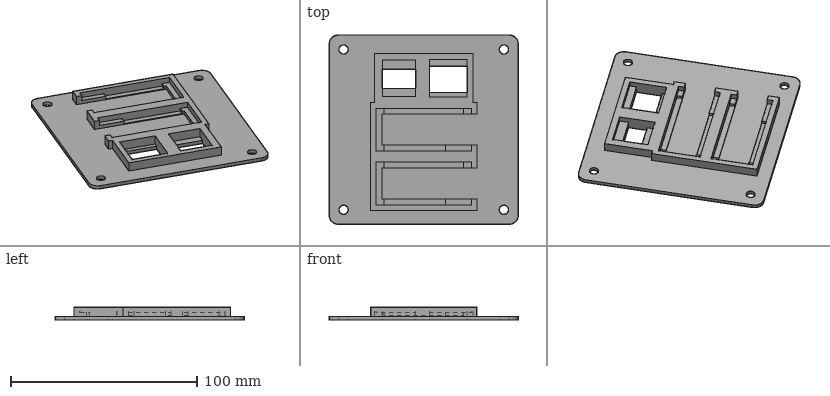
import cadquery as cq

PLATE_SIZE = 101.6
PLATE_THICKNESS = 2.0
PLATE_CORNER_RADIUS = 5.0
MOUNT_HOLE_DIAMETER = 4.8
MOUNT_HOLE_SPACING = 86.0

FRAME_HEIGHT = 5.0
RECESS_DEPTH = 3.0
TOP_Z = PLATE_THICKNESS + FRAME_HEIGHT
LEDGE_Z = TOP_Z - RECESS_DEPTH

TRAY_LENGTH = 57.0
TRAY_WIDTH = 28.9
TRAY_WALL = 3.0
TRAY_COUNT = 2
TRAY_TOP_Y = TRAY_WIDTH / 2
SLOT_WIDTH = 16.7
SLOT_START_X = -22.5
CHANNEL_FLOOR_Z = PLATE_THICKNESS + 0.5
CHANNEL_START_X = -21.3
BACK_CHANNEL_END_X = 21.3
FRONT_CHANNEL_END_X = 11.7

WINDOW_FRAME_SIZE = 26.3
WINDOW_FRAME_FRONT_Y = TRAY_TOP_Y

LEFT_RECESS_X = (-22.2, -4.4)
LEFT_RECESS_Y = (17.9, 37.3)
LEFT_OPENING_Y = (22.2, 32.3)

RIGHT_RECESS_X = (3.1, 23.3)
RIGHT_RECESS_Y = (17.5, 37.7)
RIGHT_OPENING_Y = (20.0, 34.0)


def block(x_range, y_range, z_range):
    """Axis-aligned box spanning the given (low, high) ranges."""
    size = [high - low for low, high in (x_range, y_range, z_range)]
    corner = (x_range[0], y_range[0], z_range[0])
    return cq.Workplane("XY").box(*size, centered=False).translate(corner)


def base_plate():
    """Square plate with rounded corners and four mounting holes."""
    plate = (
        cq.Workplane("XY")
        .rect(PLATE_SIZE, PLATE_SIZE)
        .extrude(PLATE_THICKNESS)
        .edges("|Z")
        .fillet(PLATE_CORNER_RADIUS)
    )
    return (
        plate.faces(">Z")
        .workplane()
        .rect(MOUNT_HOLE_SPACING, MOUNT_HOLE_SPACING, forConstruction=True)
        .vertices()
        .hole(MOUNT_HOLE_DIAMETER)
    )


def module_tray(center_y):
    """Frame with a ledged recess, two sunken side channels and a slot open toward +X."""
    half_length = TRAY_LENGTH / 2
    half_width = TRAY_WIDTH / 2
    inner_x = half_length - TRAY_WALL
    inner_y = half_width - TRAY_WALL
    half_slot = SLOT_WIDTH / 2

    tray = block((-half_length, half_length), (-half_width, half_width), (PLATE_THICKNESS, TOP_Z))
    recess = block((-inner_x, inner_x), (-inner_y, inner_y), (LEDGE_Z, TOP_Z))
    slot = block((SLOT_START_X, half_length), (-half_slot, half_slot), (PLATE_THICKNESS, TOP_Z))
    channel_z = (CHANNEL_FLOOR_Z, TOP_Z)
    back_channel = block((CHANNEL_START_X, BACK_CHANNEL_END_X), (0, inner_y), channel_z)
    front_channel = block((CHANNEL_START_X, FRONT_CHANNEL_END_X), (-inner_y, 0), channel_z)

    tray = tray.cut(recess).cut(slot).cut(back_channel).cut(front_channel)
    return tray.translate((0, center_y, 0))


def window_frame(left_x):
    """Solid square block for one window frame."""
    x_range = (left_x, left_x + WINDOW_FRAME_SIZE)
    y_range = (WINDOW_FRAME_FRONT_Y, WINDOW_FRAME_FRONT_Y + WINDOW_FRAME_SIZE)
    return block(x_range, y_range, (PLATE_THICKNESS, TOP_Z))


def window_cut(recess_x, recess_y, opening_y):
    """Through opening with a raised ledge behind it and a ledge at plate level in front."""
    front_y = recess_y[0]
    opening_front_y, opening_back_y = opening_y
    recess = block(recess_x, recess_y, (LEDGE_Z, TOP_Z))
    front_pocket = block(recess_x, (front_y, opening_back_y), (PLATE_THICKNESS, TOP_Z))
    opening = block(recess_x, (opening_front_y, opening_back_y), (0, TOP_Z))
    return recess.union(front_pocket).union(opening)


result = base_plate()
for tray_index in range(TRAY_COUNT):
    result = result.union(module_tray(-tray_index * TRAY_WIDTH))
for frame_left_x in (-WINDOW_FRAME_SIZE, 0):
    result = result.union(window_frame(frame_left_x))
result = result.cut(window_cut(LEFT_RECESS_X, LEFT_RECESS_Y, LEFT_OPENING_Y))
result = result.cut(window_cut(RIGHT_RECESS_X, RIGHT_RECESS_Y, RIGHT_OPENING_Y))